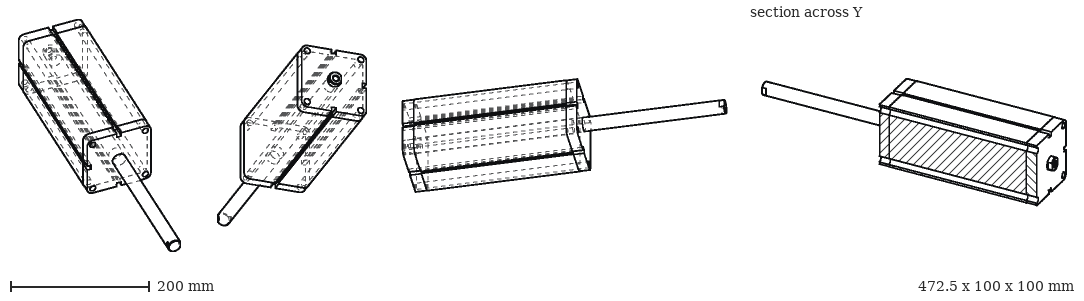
import cadquery as cq
ROD_LENGTH = 472.5
ROD_START = -ROD_LENGTH / 2
ROD_STUB = 8.0
REAR_CAP_LENGTH = 17.0
HOUSING_LENGTH = 223.5
FRONT_CAP_LENGTH = 15.5
REAR_CAP_START = ROD_START + ROD_STUB
HOUSING_START = REAR_CAP_START + REAR_CAP_LENGTH
FRONT_CAP_START = HOUSING_START + HOUSING_LENGTH

HOUSING_WIDTH = 100.0
HOUSING_TOP = HOUSING_WIDTH / 2
HOUSING_CORNER_RADIUS = 9.5
CAP_INSET = 0.35
CAP_WIDTH = HOUSING_WIDTH - 2 * CAP_INSET
CAP_CORNER_RADIUS = HOUSING_CORNER_RADIUS - CAP_INSET

SLOT_MOUTH_WIDTH = 4.5
SLOT_WIDTH = 7.0
SLOT_DEPTH = 6.5
SLOT_LIP = 3.0
SLOT_ANGLES = (0, 90, 180)

SCREW_OFFSET = 41.0
SCREW_HOLE_DIAMETER = 9.0

ROD_DIAMETER = 20.5
ROD_CHAMFER = 1.0
FLAT_WIDTH = 17.0
FLAT_LENGTH = 7.0
ROD_HOLE_DIAMETER = 8.0
ROD_HOLE_MOUTH_DIAMETER = 10.0
ROD_HOLE_DEPTH = 19.0
DRILL_TIP_LENGTH = 2.5


def square_bar(start, length, width, corner_radius):
    bar = cq.Workplane("YZ", origin=(start, 0, 0)).rect(width, width).extrude(length)
    return bar.edges("|X").fillet(corner_radius)


def round_bar(start, length, diameter):
    return cq.Workplane("YZ", origin=(start, 0, 0)).circle(diameter / 2).extrude(length)


def slot_bar(start, length, width, top):
    """A bar on the +Z side, from the slot floor up to the given height."""
    floor = HOUSING_TOP - SLOT_DEPTH
    return cq.Workplane("XY", origin=(start, 0, floor)).box(
        length, width, top - floor, centered=(False, True, False)
    )


def cut_slots(body, slot):
    for angle in SLOT_ANGLES:
        body = body.cut(slot.rotate((0, 0, 0), (1, 0, 0), angle))
    return body


def cut_bore_and_screw_holes(body, start, length):
    screw_holes = (
        cq.Workplane("YZ", origin=(start, 0, 0))
        .rect(2 * SCREW_OFFSET, 2 * SCREW_OFFSET, forConstruction=True)
        .vertices()
        .circle(SCREW_HOLE_DIAMETER / 2)
        .extrude(length)
    )
    return body.cut(screw_holes).cut(round_bar(start, length, ROD_DIAMETER))


def make_housing():
    body = square_bar(HOUSING_START, HOUSING_LENGTH, HOUSING_WIDTH, HOUSING_CORNER_RADIUS)
    mouth = slot_bar(HOUSING_START, HOUSING_LENGTH, SLOT_MOUTH_WIDTH, HOUSING_TOP)
    wide_part = slot_bar(HOUSING_START, HOUSING_LENGTH, SLOT_WIDTH, HOUSING_TOP - SLOT_LIP)
    body = cut_slots(body, mouth.union(wide_part))
    return cut_bore_and_screw_holes(body, HOUSING_START, HOUSING_LENGTH)


def make_cap(start, length):
    body = square_bar(start, length, CAP_WIDTH, CAP_CORNER_RADIUS)
    body = cut_slots(body, slot_bar(start, length, SLOT_WIDTH, HOUSING_TOP))
    return cut_bore_and_screw_holes(body, start, length)


def wrench_flat_cutter(start):
    """The material outside two flats that face +Y and -Y."""
    end_of_rod = cq.Workplane("XY", origin=(start, 0, 0))
    outside = end_of_rod.box(FLAT_LENGTH, ROD_DIAMETER, ROD_DIAMETER, centered=(False, True, True))
    between_flats = end_of_rod.box(FLAT_LENGTH, FLAT_WIDTH, ROD_DIAMETER, centered=(False, True, True))
    return outside.cut(between_flats)


def rod_end_hole():
    """A blind hole in the rear end, with a 45 degree mouth and a conical bottom."""
    radius = ROD_HOLE_DIAMETER / 2
    mouth_radius = ROD_HOLE_MOUTH_DIAMETER / 2
    mouth_depth = mouth_radius - radius
    profile = [
        (ROD_START, 0),
        (ROD_START, mouth_radius),
        (ROD_START + mouth_depth, radius),
        (ROD_START + ROD_HOLE_DEPTH, radius),
        (ROD_START + ROD_HOLE_DEPTH + DRILL_TIP_LENGTH, 0),
    ]
    return cq.Workplane("XZ").polyline(profile).close().revolve(360, (0, 0, 0), (1, 0, 0))


def make_rod():
    body = round_bar(ROD_START, ROD_LENGTH, ROD_DIAMETER)
    body = body.faces("<X or >X").chamfer(ROD_CHAMFER)
    for flat_start in (ROD_START, ROD_START + ROD_LENGTH - FLAT_LENGTH):
        body = body.cut(wrench_flat_cutter(flat_start))
    return body.cut(rod_end_hole())


housing = make_housing()
rear_cap = make_cap(REAR_CAP_START, REAR_CAP_LENGTH)
front_cap = make_cap(FRONT_CAP_START, FRONT_CAP_LENGTH)
rod = make_rod()

result = cq.Compound.makeCompound([housing.val(), rear_cap.val(), front_cap.val(), rod.val()])